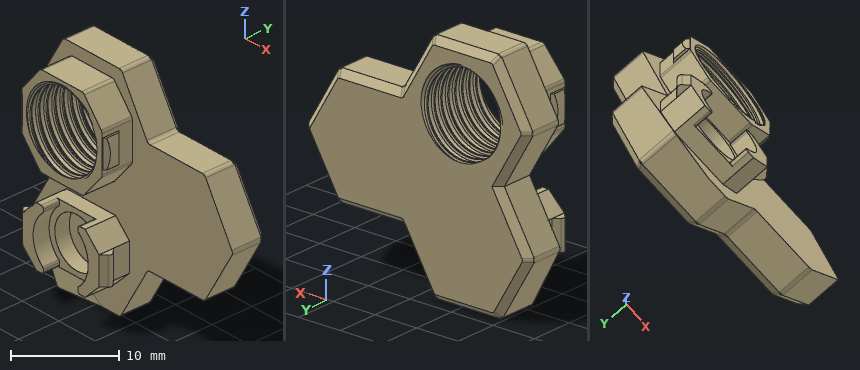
import cadquery as cq
import math


PLATE_THICKNESS = 4.4
LARGE_APOTHEM = 6.9
SMALL_APOTHEM = 6.74
THREAD_CENTRE = (0.0, 0.0)
SOCKET_CENTRE = (-0.16, -12.57)
BLANK_CENTRE = (11.5, -6.16)
LOBES = [
    (THREAD_CENTRE, LARGE_APOTHEM),
    (SOCKET_CENTRE, LARGE_APOTHEM),
    (BLANK_CENTRE, SMALL_APOTHEM),
]
CORNER_RADIUS = 0.55
BACK_CHAMFER = 0.75

WEDGE_HEIGHT = 0.6
WEDGE_RUN = 5.4

BOSS_HEIGHT = 3.8

THREAD_BOSS_HALF = 5.5
THREAD_BOSS_FLAT_X = 2.94
THREAD_BOSS_FLAT_Z = 2.4
THREAD_BOSS_RADIUS = 0.5
THREAD_MINOR_RADIUS = 4.56
THREAD_MAJOR_RADIUS = 5.0
THREAD_PITCH = 1.0
THREAD_SHOULDER_RADIUS = 4.78
THREAD_ROOT_WIDTH = 0.1
THREAD_SHOULDER_WIDTH = 0.62
THREAD_MOUTH_WIDTH = 0.85
THREAD_START_ANGLE = 100.0
THREAD_OVERLAP = 0.05

SOCKET_HALF_X = 5.26
SOCKET_HALF_Z = 3.62
SOCKET_CORNER_CUT = 1.9
RECESS_RADIUS = 3.78
RECESS_DEPTH = 2.0
RECESS_MOUTH_HALF = 2.37
JAW_TIP_RADIUS = 0.3
BORE_DIAMETER = 6.0

TAB_HALF_WIDTH = 1.71
TAB_REACH = 6.0
THREAD_TAB_LENGTH = 2.05
THREAD_TAB_SETBACK = 0.1
SOCKET_TAB_LENGTH = 1.8
SOCKET_TAB_SHOULDER = 0.6


def front_plane(y, centre):
    """Workplane at Y = y: local x is X, local y is Z, extrusion goes toward -Y."""
    return cq.Workplane("XZ", origin=(centre[0], y, centre[1]))


def make_lobe(centre, apothem):
    diameter = 2 * apothem / math.cos(math.pi / 6)
    return front_plane(PLATE_THICKNESS, centre).polygon(6, diameter).extrude(PLATE_THICKNESS)


def make_plate():
    plate = make_lobe(*LOBES[0])
    for centre, apothem in LOBES[1:]:
        plate = plate.union(make_lobe(centre, apothem))
    plate = plate.faces(">Y").edges().chamfer(BACK_CHAMFER)
    notch_x = (THREAD_CENTRE[0] + SOCKET_CENTRE[0]) / 2 - LARGE_APOTHEM / math.sqrt(3)
    notch_z = (THREAD_CENTRE[1] + SOCKET_CENTRE[1]) / 2
    notch = cq.selectors.BoxSelector(
        (notch_x - BACK_CHAMFER, 0, notch_z - BACK_CHAMFER),
        (notch_x + BACK_CHAMFER, PLATE_THICKNESS, notch_z + BACK_CHAMFER))
    across_plate = cq.selectors.StringSyntaxSelector("not #Y")
    return plate.edges(across_plate - notch).fillet(CORNER_RADIUS)


def make_wedge():
    """Tetrahedron on the front face, tallest at the lower left corner of the socket lobe."""
    side = 2 * LARGE_APOTHEM / math.sqrt(3)
    corner_x = SOCKET_CENTRE[0] - side / 2
    corner_z = SOCKET_CENTRE[1] - LARGE_APOTHEM
    corner = cq.Vector(corner_x, 0, corner_z)
    peak = cq.Vector(corner_x, -WEDGE_HEIGHT, corner_z)
    left = cq.Vector(SOCKET_CENTRE[0] - side, 0, SOCKET_CENTRE[1])
    right = cq.Vector(corner_x + WEDGE_RUN, 0, corner_z)
    triangles = [(corner, left, right), (peak, left, right), (corner, peak, left), (corner, peak, right)]
    faces = [cq.Face.makeFromWires(cq.Wire.makePolygon(points, close=True)) for points in triangles]
    tetrahedron = cq.Workplane(cq.Solid.makeSolid(cq.Shell.makeShell(faces)))
    lobe = front_plane(0, SOCKET_CENTRE).polygon(6, 2 * side).extrude(WEDGE_HEIGHT)
    return tetrahedron.intersect(lobe.edges("|Y").fillet(CORNER_RADIUS))


def make_octagon(base_y, height, centre, half_x, half_z, flat_x, flat_z):
    """Octagonal prism from base_y toward -Y; the flats are given by their half lengths."""
    corners = [
        (half_x, flat_z), (flat_x, half_z), (-flat_x, half_z), (-half_x, flat_z),
        (-half_x, -flat_z), (-flat_x, -half_z), (flat_x, -half_z), (half_x, -flat_z),
    ]
    return front_plane(base_y, centre).polyline(corners).close().extrude(height)


def tab_plane(centre):
    """Plane at the lower end of the tabs: local x is +X, local y is depth behind the boss face."""
    return cq.Workplane("XY", origin=(centre[0], -BOSS_HEIGHT, centre[1] - TAB_HALF_WIDTH))


def both_sides(tab, centre):
    return tab.union(tab.mirror("YZ", (centre[0], 0, centre[1])))


def make_thread_tabs():
    """Tabs with 45 degree flanks and an outer face coaxial with the hole."""
    rise = TAB_REACH - THREAD_BOSS_HALF
    front = THREAD_TAB_SETBACK
    back = front + THREAD_TAB_LENGTH
    outline = [
        (THREAD_MAJOR_RADIUS, front), (THREAD_BOSS_HALF, front), (TAB_REACH, front + rise),
        (TAB_REACH, back - rise), (THREAD_BOSS_HALF, back), (THREAD_MAJOR_RADIUS, back),
    ]
    tab = tab_plane(THREAD_CENTRE).polyline(outline).close().extrude(2 * TAB_HALF_WIDTH)
    tab = tab.intersect(front_plane(0, THREAD_CENTRE).circle(TAB_REACH).extrude(BOSS_HEIGHT))
    return both_sides(tab, THREAD_CENTRE)


def make_socket_tabs():
    """Straight tabs with 45 degree flanks and a rounded crown."""
    root = SOCKET_HALF_X - SOCKET_CORNER_CUT / 2
    shoulder = SOCKET_HALF_X + SOCKET_TAB_SHOULDER
    tab = (
        tab_plane(SOCKET_CENTRE)
        .moveTo(root, 0)
        .lineTo(SOCKET_HALF_X, 0)
        .lineTo(shoulder, SOCKET_TAB_SHOULDER)
        .threePointArc((TAB_REACH, SOCKET_TAB_LENGTH / 2),
                       (shoulder, SOCKET_TAB_LENGTH - SOCKET_TAB_SHOULDER))
        .lineTo(SOCKET_HALF_X, SOCKET_TAB_LENGTH)
        .lineTo(root, SOCKET_TAB_LENGTH)
        .close()
        .extrude(2 * TAB_HALF_WIDTH)
    )
    return both_sides(tab, SOCKET_CENTRE)


def make_thread_boss():
    boss = make_octagon(0, BOSS_HEIGHT, THREAD_CENTRE, THREAD_BOSS_HALF, THREAD_BOSS_HALF,
                        THREAD_BOSS_FLAT_X, THREAD_BOSS_FLAT_Z)
    return boss.edges("|Y").fillet(THREAD_BOSS_RADIUS).union(make_thread_tabs())


def make_socket_layer(base_y, height):
    return make_octagon(base_y, height, SOCKET_CENTRE, SOCKET_HALF_X, SOCKET_HALF_Z,
                        SOCKET_HALF_X - SOCKET_CORNER_CUT, SOCKET_HALF_Z - SOCKET_CORNER_CUT)


def make_socket_jaws(ledge_y):
    """Two jaws around an open round recess, with rounded tips at its mouths."""
    ledge = front_plane(ledge_y, SOCKET_CENTRE)
    recess = ledge.circle(RECESS_RADIUS).extrude(RECESS_DEPTH)
    mouths = ledge.rect(2 * RECESS_MOUTH_HALF, 2 * SOCKET_HALF_Z).extrude(RECESS_DEPTH)
    jaws = make_socket_layer(ledge_y, RECESS_DEPTH).cut(recess).cut(mouths)
    tip_reach_x = RECESS_MOUTH_HALF + JAW_TIP_RADIUS
    tip_reach_z = SOCKET_HALF_Z + JAW_TIP_RADIUS
    tips = cq.selectors.BoxSelector(
        (SOCKET_CENTRE[0] - tip_reach_x, -BOSS_HEIGHT, SOCKET_CENTRE[1] - tip_reach_z),
        (SOCKET_CENTRE[0] + tip_reach_x, 0, SOCKET_CENTRE[1] + tip_reach_z))
    return jaws.edges("|Y").edges(tips).fillet(JAW_TIP_RADIUS)


def make_socket_boss():
    """Ring with a bore down to the plate face, topped by the jaws and flanked by the tabs."""
    base_height = BOSS_HEIGHT - RECESS_DEPTH
    bore = front_plane(0, SOCKET_CENTRE).circle(BORE_DIAMETER / 2).extrude(base_height)
    base = make_socket_layer(0, base_height).cut(bore)
    return base.union(make_socket_jaws(-base_height)).union(make_socket_tabs())


def make_bore(length):
    """Plain bore at the minor diameter, through plate and boss."""
    return front_plane(PLATE_THICKNESS, THREAD_CENTRE).circle(THREAD_MINOR_RADIUS).extrude(length)


def make_groove(length):
    """Helical thread groove running past both ends of a hole of the given length."""
    inner = THREAD_MINOR_RADIUS - THREAD_OVERLAP
    groove_length = THREAD_PITCH * (math.ceil(length / THREAD_PITCH) + 2)
    helix = cq.Wire.makeHelix(THREAD_PITCH, groove_length, THREAD_MINOR_RADIUS)
    profile = [
        (inner, -THREAD_MOUTH_WIDTH / 2),
        (THREAD_SHOULDER_RADIUS, -THREAD_SHOULDER_WIDTH / 2),
        (THREAD_MAJOR_RADIUS, -THREAD_ROOT_WIDTH / 2),
        (THREAD_MAJOR_RADIUS, THREAD_ROOT_WIDTH / 2),
        (THREAD_SHOULDER_RADIUS, THREAD_SHOULDER_WIDTH / 2),
        (inner, THREAD_MOUTH_WIDTH / 2),
    ]
    groove = cq.Workplane("XZ").polyline(profile).close().sweep(cq.Workplane(helix), isFrenet=True)
    groove = groove.rotate((0, 0, 0), (0, 0, 1), THREAD_START_ANGLE)
    groove = groove.rotate((0, 0, 0), (1, 0, 0), 90)
    front_end = -BOSS_HEIGHT - THREAD_PITCH
    return groove.translate((THREAD_CENTRE[0], front_end + groove_length, THREAD_CENTRE[1]))


hole_length = PLATE_THICKNESS + BOSS_HEIGHT
solid_body = make_plate().union(make_wedge()).union(make_thread_boss()).union(make_socket_boss())
result = solid_body.cut(make_groove(hole_length)).cut(make_bore(hole_length))